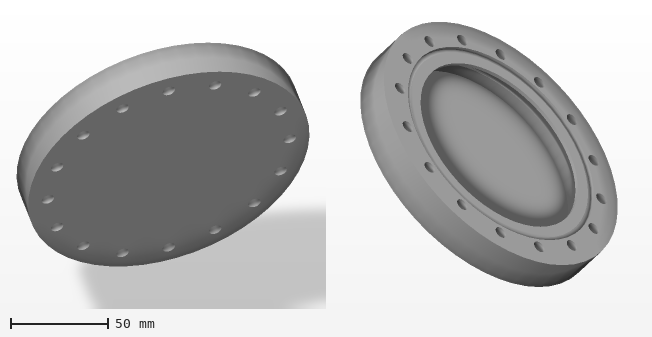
import cadquery as cq
outer_radius = 75.8
thickness = 19.9
front_x = -thickness / 2
back_x = thickness / 2

recess_radius = 60.2
ledge_radius = 57.6
recess_depth = 2.3
ledge_depth = 1.4

bore_radius = 51.0
lip_length = 2.0
cup_inner_radius = 57.5
cup_wall = 1.5
cup_outer_radius = cup_inner_radius + cup_wall
cup_rim_depth = 10.9
cup_floor_depth = 17.9

bolt_count = 16
bolt_circle_radius = 65.2
bolt_hole_diameter = 6.7

recess_x = front_x + recess_depth
ledge_x = front_x + ledge_depth
lip_back_x = ledge_x + lip_length
cup_rim_x = front_x + cup_rim_depth
cup_floor_x = front_x + cup_floor_depth


def revolve_about_x(points):
    """Revolve a closed (x, radius) outline about the X axis."""
    return cq.Workplane("XZ").polyline(points).close().revolve(360, (0, 0, 0), (1, 0, 0))


def make_bolt_holes():
    """Through-hole cutters spaced evenly around the bolt circle."""
    return (
        cq.Workplane("YZ", origin=(front_x, 0, 0))
        .polarArray(bolt_circle_radius, 0, 360, bolt_count)
        .circle(bolt_hole_diameter / 2)
        .extrude(thickness)
    )


def make_flange():
    """Ring with a lipped bore, rear cavity, sealing recess and bolt holes."""
    ring = revolve_about_x([
        (front_x, outer_radius),
        (front_x, recess_radius),
        (recess_x, recess_radius),
        (ledge_x, ledge_radius),
        (ledge_x, bore_radius),
        (lip_back_x, bore_radius),
        (lip_back_x, cup_outer_radius),
        (back_x, cup_outer_radius),
        (back_x, outer_radius),
    ])
    return ring.cut(make_bolt_holes())


def make_window_cup():
    """Shallow cup, open toward -X, with a floor flush with the flange back."""
    return revolve_about_x([
        (cup_rim_x, cup_inner_radius),
        (cup_rim_x, cup_outer_radius),
        (back_x, cup_outer_radius),
        (back_x, 0),
        (cup_floor_x, 0),
        (cup_floor_x, cup_inner_radius),
    ])


flange = make_flange()
window_cup = make_window_cup()

result = cq.Compound.makeCompound([flange.val(), window_cup.val()])